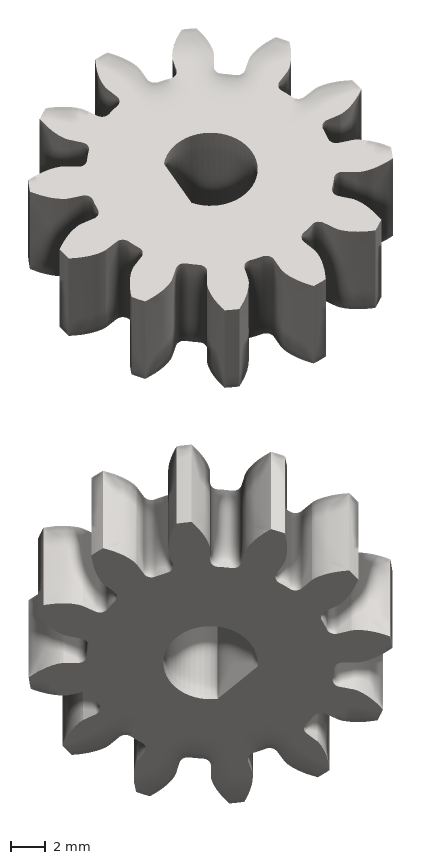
import cadquery as cq
import math

MODULE = 1.494
TOOTH_COUNT = 12
PRESSURE_ANGLE = math.radians(20)
TOOTH_THINNING = 0.06
ADDENDUM_FACTOR = 1.0
DEDENDUM_FACTOR = 1.25
FACE_WIDTH = 7.0
ROOT_FILLET_RADIUS = 0.5
BORE_RADIUS = 2.7
FLAT_DISTANCE = 2.14
FLAT_DIRECTION = 247.0
FLANK_POINTS = 7

PITCH_RADIUS = MODULE * TOOTH_COUNT / 2
TIP_RADIUS = PITCH_RADIUS + ADDENDUM_FACTOR * MODULE
ROOT_RADIUS = PITCH_RADIUS - DEDENDUM_FACTOR * MODULE
BASE_RADIUS = PITCH_RADIUS * math.cos(PRESSURE_ANGLE)

TOOTH_PITCH = 2 * math.pi / TOOTH_COUNT
HALF_PITCH = TOOTH_PITCH / 2
FIRST_TOOTH_ANGLE = HALF_PITCH


def involute(pressure_angle):
    """Involute function of an angle in radians."""
    return math.tan(pressure_angle) - pressure_angle


PITCH_HALF_ANGLE = HALF_PITCH / 2 - TOOTH_THINNING / 2 / PITCH_RADIUS
BASE_HALF_ANGLE = PITCH_HALF_ANGLE + involute(PRESSURE_ANGLE)


def polar(radius, angle):
    """Cartesian point at a radius and angle about the gear axis."""
    return (radius * math.cos(angle), radius * math.sin(angle))


def half_angle_at(radius):
    """Half the angle that a tooth spans at a radius on its involute."""
    return BASE_HALF_ANGLE - involute(math.acos(BASE_RADIUS / radius))


def flank_points(tooth_angle, side):
    """Involute from base circle to tip circle; side is -1 or +1."""
    points = []
    tip_roll = math.sqrt((TIP_RADIUS / BASE_RADIUS) ** 2 - 1)
    for i in range(FLANK_POINTS):
        roll = tip_roll * i / (FLANK_POINTS - 1)
        radius = BASE_RADIUS * math.sqrt(1 + roll ** 2)
        points.append(polar(radius, tooth_angle + side * half_angle_at(radius)))
    return points


FILLET_CENTER_RADIUS = ROOT_RADIUS + ROOT_FILLET_RADIUS
FILLET_ANGLE = math.asin(ROOT_FILLET_RADIUS / FILLET_CENTER_RADIUS)
FILLET_TOP_RADIUS = FILLET_CENTER_RADIUS * math.cos(FILLET_ANGLE)
ROOT_HALF_ANGLE = BASE_HALF_ANGLE + FILLET_ANGLE


def fillet_middle(tooth_angle, side):
    """Point halfway along a root fillet."""
    center_angle = tooth_angle + side * ROOT_HALF_ANGLE
    center = polar(FILLET_CENTER_RADIUS, center_angle)
    axis_direction = center_angle + math.pi
    arc_angle = math.pi / 2 - FILLET_ANGLE
    bisector = axis_direction + side * arc_angle / 2
    offset = polar(ROOT_FILLET_RADIUS, bisector)
    return (center[0] + offset[0], center[1] + offset[1])


def add_tooth(outline, tooth_angle):
    """Add one tooth and the root space after it, running counterclockwise."""
    rising = flank_points(tooth_angle, -1)
    falling = flank_points(tooth_angle, 1)[::-1]
    next_tooth = tooth_angle + TOOTH_PITCH

    outline = outline.threePointArc(
        fillet_middle(tooth_angle, -1), polar(FILLET_TOP_RADIUS, tooth_angle - BASE_HALF_ANGLE)
    )
    outline = outline.lineTo(*rising[0])
    outline = outline.spline(rising[1:], includeCurrent=True)
    outline = outline.threePointArc(polar(TIP_RADIUS, tooth_angle), falling[0])
    outline = outline.spline(falling[1:], includeCurrent=True)
    outline = outline.lineTo(*polar(FILLET_TOP_RADIUS, tooth_angle + BASE_HALF_ANGLE))
    outline = outline.threePointArc(
        fillet_middle(tooth_angle, 1), polar(ROOT_RADIUS, tooth_angle + ROOT_HALF_ANGLE)
    )
    return outline.threePointArc(
        polar(ROOT_RADIUS, tooth_angle + HALF_PITCH), polar(ROOT_RADIUS, next_tooth - ROOT_HALF_ANGLE)
    )


def make_gear():
    start_angle = FIRST_TOOTH_ANGLE - ROOT_HALF_ANGLE
    outline = cq.Workplane("XY").moveTo(*polar(ROOT_RADIUS, start_angle))
    for i in range(TOOTH_COUNT):
        outline = add_tooth(outline, FIRST_TOOTH_ANGLE + i * TOOTH_PITCH)
    return outline.close().extrude(FACE_WIDTH)


def make_bore():
    """D-shaped through bore."""
    direction = math.radians(FLAT_DIRECTION)
    half_flat = math.acos(FLAT_DISTANCE / BORE_RADIUS)
    return (
        cq.Workplane("XY")
        .moveTo(*polar(BORE_RADIUS, direction + half_flat))
        .threePointArc(
            polar(BORE_RADIUS, direction + math.pi), polar(BORE_RADIUS, direction - half_flat)
        )
        .close()
        .extrude(FACE_WIDTH)
    )


result = make_gear().cut(make_bore())